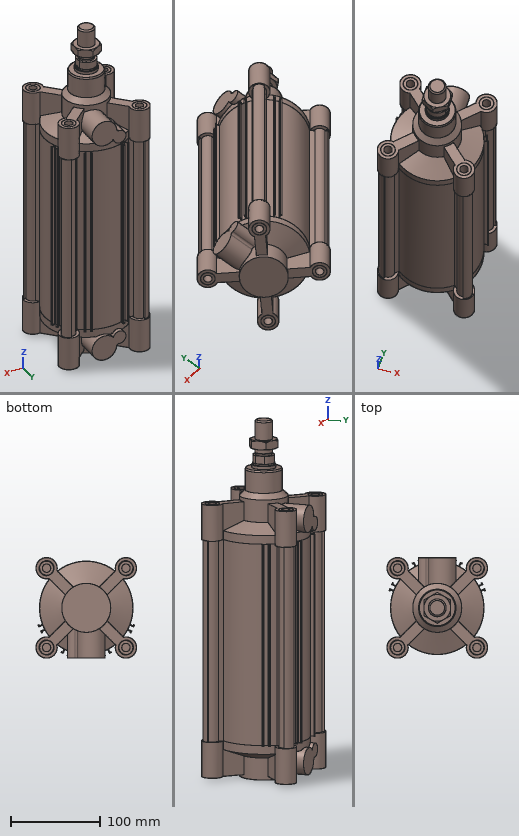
import cadquery as cq
import math


rear_spigot_height = 4.0
rear_face_z = rear_spigot_height
body_length = 313.0
front_face_z = rear_face_z + body_length
cap_height = 41.0
barrel_bottom_z = rear_face_z + cap_height
barrel_top_z = front_face_z - cap_height
barrel_length = barrel_top_z - barrel_bottom_z
rod_projection = 51.0
rod_thread_length = 40.0
rod_shoulder_z = front_face_z + rod_projection
rod_end_z = rod_shoulder_z + rod_thread_length

body_diameter = 105.0
cap_rim_height = 10.0
cap_cone_height = 9.6
hub_diameter = 55.0
boss_spacing = 89.0
boss_radius_from_axis = boss_spacing / math.sqrt(2)
boss_diameter = 24.0
arm_width = 12.5
tie_bore_diameter = 16.5

port_face_y = (boss_spacing + boss_diameter) / 2
port_x = 5.7
port_diameter = 31.0
port_height = 23.5
screw_x = -13.3
screw_boss_diameter = 16.0
screw_height = 14.5
port_blend_radius = 3.0

hub_shoulder_height = 4.4
hub_cone_height = 6.2
collar_diameter = 42.0
collar_top_height = 36.3
collar_chamfer_width = 1.0
collar_chamfer_height = 2.0
wiper_diameter = 27.0
wiper_height = 4.0
wiper_chamfer = 0.6

tie_diameter = 16.0
tie_hole_diameter = 9.4
tie_hole_depth = 20.0
tie_cover_radius = 10.6
tie_cover_half_angle = 36.0
slot_offset_angle = 24.5
lip_spacing = 7.4
lip_thickness = 1.0
lip_root_depth = 1.0
lip_tip_width = 2.4
lip_tip_thickness = 1.0
lip_tip_radius = 57.3

rod_diameter = 25.0
rod_head_diameter = 24.5
rod_head_length = 9.0
rod_flat_width = 22.0
neck_diameter = 18.5
neck_length = 2.0
thread_diameter = 20.0
thread_chamfer = 1.75
thread_runout = 0.75
nut_sides = 6
nut_width = 30.0
nut_height = 10.0
nut_gap = 8.0
nut_bottom_z = rod_shoulder_z + nut_gap
nut_chamfer_angle = 30.0

CORNER_ANGLES = (45, 135, 225, 315)


def cylinder(diameter, bottom_z, height):
    return cq.Workplane("XY").workplane(offset=bottom_z).circle(diameter / 2).extrude(height)


def radial_bar(length, width, height):
    """Upright bar on the XY plane that runs out from the axis along +X."""
    return cq.Workplane("XY").box(length, width, height, centered=(False, True, False))


def at_corners(shape):
    """The shape, drawn along +X, repeated towards the four corners as one solid."""
    copies = [shape.rotate((0, 0, 0), (0, 0, 1), angle) for angle in CORNER_ANGLES]
    joined = copies[0]
    for copy in copies[1:]:
        joined = joined.union(copy)
    return joined


def make_tie_rib():
    """Web from the axis out to a tie, with the curved cover on the tie's outer side."""
    web = radial_bar(boss_radius_from_axis, arm_width, barrel_length)
    half_angle = math.radians(tie_cover_half_angle)
    cover_x = tie_cover_radius * math.cos(half_angle)
    cover_y = tie_cover_radius * math.sin(half_angle)
    cover = (
        cq.Workplane("XY")
        .center(boss_radius_from_axis, 0)
        .lineTo(cover_x, -cover_y)
        .threePointArc((tie_cover_radius, 0), (cover_x, cover_y))
        .close()
        .extrude(barrel_length)
    )
    return web.union(cover).translate((0, 0, barrel_bottom_z))


def make_tie():
    """Round tie as long as the body, and the pair of blind holes for its ends, both on the axis."""
    tie = cylinder(tie_diameter, rear_face_z, body_length)
    rear_hole = cylinder(tie_hole_diameter, rear_face_z, tie_hole_depth)
    front_hole = cylinder(tie_hole_diameter, front_face_z - tie_hole_depth, tie_hole_depth)
    return tie, rear_hole.union(front_hole)


def make_slot_lip():
    """Hooked lip along the barrel, drawn for the +Y side of a slot that opens along +X."""
    stem_start = body_diameter / 2 - lip_root_depth
    stem_y = lip_spacing / 2 - (lip_tip_width - lip_thickness) / 2
    tip_start = lip_tip_radius - lip_tip_thickness
    stem = radial_bar(lip_tip_radius - stem_start, lip_thickness, barrel_length)
    tip = radial_bar(lip_tip_thickness, lip_tip_width, barrel_length)
    lip = stem.translate((stem_start, stem_y, 0)).union(tip.translate((tip_start, lip_spacing / 2, 0)))
    return lip.translate((0, 0, barrel_bottom_z))


def make_barrel():
    """Round body with four ribs and through ties, and two sensor slots at each +Y rib."""
    tie, tie_holes = make_tie()
    to_corner = (boss_radius_from_axis, 0, 0)
    barrel = cylinder(body_diameter, barrel_bottom_z, barrel_length)
    barrel = barrel.union(at_corners(make_tie_rib()))
    for angle in CORNER_ANGLES:
        placed_tie = tie.translate(to_corner).rotate((0, 0, 0), (0, 0, 1), angle)
        placed_holes = tie_holes.translate(to_corner).rotate((0, 0, 0), (0, 0, 1), angle)
        barrel = barrel.union(placed_tie).cut(placed_holes)

    lip = make_slot_lip()
    lip_pair = (lip, lip.mirror("XZ"))
    slot_angles = (
        slot_offset_angle,
        90 - slot_offset_angle,
        90 + slot_offset_angle,
        180 - slot_offset_angle,
    )
    for angle in slot_angles:
        for side_lip in lip_pair:
            barrel = barrel.union(side_lip.rotate((0, 0, 0), (0, 0, 1), angle))
    return barrel


def make_port_bosses():
    """Blended supply port and cushion screw bosses, from the hub out to the +Y face."""
    bosses = (
        cq.Workplane("XZ").center(port_x, port_height).circle(port_diameter / 2).extrude(-port_face_y)
    )
    screw_boss = (
        cq.Workplane("XZ").center(screw_x, screw_height).circle(screw_boss_diameter / 2).extrude(-port_face_y)
    )
    upper_seam = cq.selectors.BoxSelector(
        (screw_x - screw_boss_diameter, 0, screw_height),
        (port_x, port_face_y, port_height + port_diameter),
    )
    return bosses.union(screw_boss).edges("|Y").edges(upper_seam).fillet(port_blend_radius)


def make_cap(hub_height):
    """End cap on the XY plane with its barrel face down and its hub reaching hub_height."""
    rim = cylinder(body_diameter, 0, cap_rim_height)
    body_radius = body_diameter / 2
    hub_radius = hub_diameter / 2
    cone = (
        cq.Workplane("XZ")
        .polyline([
            (0, cap_rim_height),
            (body_radius, cap_rim_height),
            (hub_radius, cap_rim_height + cap_cone_height),
            (0, cap_rim_height + cap_cone_height),
        ])
        .close()
        .revolve(360, (0, 0, 0), (0, 1, 0))
    )
    arm = radial_bar(boss_radius_from_axis, arm_width, cap_height)
    boss = cylinder(boss_diameter, 0, cap_height).translate((boss_radius_from_axis, 0, 0))
    cap = rim.union(cone).union(cylinder(hub_diameter, 0, hub_height))
    cap = cap.union(make_port_bosses()).union(at_corners(arm.union(boss)))

    tie_bore = cylinder(tie_bore_diameter, 0, cap_height).translate((boss_radius_from_axis, 0, 0))
    return cap.cut(at_corners(tie_bore))


def make_rear_cap():
    cap = make_cap(cap_height + rear_spigot_height)
    return cap.mirror("XY").translate((0, 0, barrel_bottom_z))


def make_front_cap():
    """Front cap with its stepped collar, rod wiper and rod bore."""
    hub_radius = hub_diameter / 2
    collar_radius = collar_diameter / 2
    wiper_radius = wiper_diameter / 2
    cone_bottom = cap_height + hub_shoulder_height
    cone_top = cone_bottom + hub_cone_height
    collar_top = cap_height + collar_top_height
    wiper_top = collar_top + wiper_height
    collar = (
        cq.Workplane("XZ")
        .polyline([
            (0, cone_bottom),
            (hub_radius, cone_bottom),
            (collar_radius, cone_top),
            (collar_radius, collar_top - collar_chamfer_height),
            (collar_radius - collar_chamfer_width, collar_top),
            (wiper_radius, collar_top),
            (wiper_radius, wiper_top - wiper_chamfer),
            (wiper_radius - wiper_chamfer, wiper_top),
            (0, wiper_top),
        ])
        .close()
        .revolve(360, (0, 0, 0), (0, 1, 0))
    )
    cap = make_cap(cone_bottom).union(collar).cut(cylinder(rod_diameter, 0, wiper_top))
    return cap.translate((0, 0, barrel_top_z))


def make_rod():
    """Piston rod with a flatted wrench head, relief neck and chamfered thread end."""
    head_bottom = rod_shoulder_z - rod_head_length
    shaft = cylinder(rod_diameter, barrel_top_z, head_bottom - barrel_top_z)
    flats = (
        cq.Workplane("XY")
        .box(rod_flat_width, rod_diameter, rod_head_length, centered=(True, True, False))
        .translate((0, 0, head_bottom))
    )
    head = cylinder(rod_head_diameter, head_bottom, rod_head_length).intersect(flats)
    neck = cylinder(neck_diameter, rod_shoulder_z, neck_length)
    thread_bottom = rod_shoulder_z + neck_length
    thread = cylinder(thread_diameter, thread_bottom, rod_end_z - thread_bottom)
    thread = thread.faces(">Z").chamfer(thread_chamfer).faces("<Z").chamfer(thread_runout)
    return shaft.union(head).union(neck).union(thread)


def make_nut():
    """Hexagon lock nut with flats facing X and chamfered corners on both ends."""
    half_side_angle = 180 / nut_sides
    across_corners = nut_width / math.cos(math.radians(half_side_angle))
    hexagon = cq.Workplane("XY").polygon(nut_sides, across_corners).extrude(nut_height)
    hexagon = hexagon.rotate((0, 0, 0), (0, 0, 1), half_side_angle)
    corner_radius = across_corners / 2
    flat_radius = nut_width / 2
    drop = (corner_radius - flat_radius) * math.tan(math.radians(nut_chamfer_angle))
    turned = (
        cq.Workplane("XZ")
        .polyline([
            (0, 0),
            (flat_radius, 0),
            (corner_radius, drop),
            (corner_radius, nut_height - drop),
            (flat_radius, nut_height),
            (0, nut_height),
        ])
        .close()
        .revolve(360, (0, 0, 0), (0, 1, 0))
    )
    nut = hexagon.intersect(turned).cut(cylinder(thread_diameter, 0, nut_height))
    return nut.translate((0, 0, nut_bottom_z))


barrel = make_barrel()
rear_cap = make_rear_cap()
front_cap = make_front_cap()
rod = make_rod()
nut = make_nut()

result = cq.Compound.makeCompound([
    barrel.val(),
    rear_cap.val(),
    front_cap.val(),
    rod.val(),
    nut.val(),
])